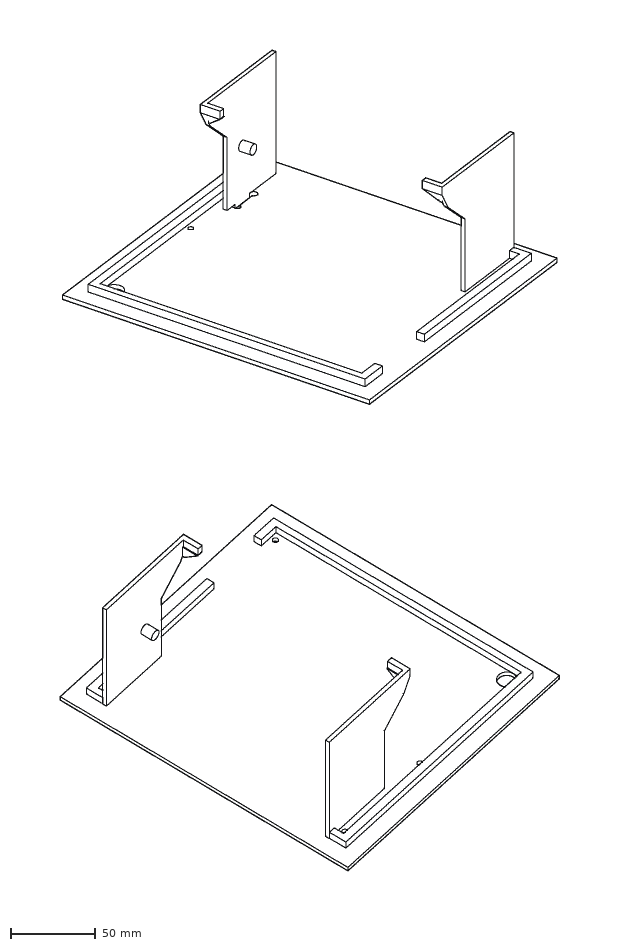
import cadquery as cq

plate_x = 220.0
plate_y = 200.0
plate_t = 3.0
total_z = 87.3
left = -plate_x / 2
front = -plate_y / 2
back = plate_y / 2

rim_margin_x = 10.8
rim_margin_y = 11.5
rim_wall_x = 5.5
rim_wall_y = 4.6
rim_h = 5.3
gap_start = 30.0
gap_end = 74.5

bracket_inset = 23.3
bracket_t = 2.9
bracket_back = back - 11.2
bracket_depth = 76.5
leg_depth = 52.1
nose_h = 5.7
knee_depth = 70.5
knee_drop = 17.0
leg_drop = 33.9

lip_w = 14.3
lip_t = 3.7
gusset_t = 4.5
gusset_drop = 15.0

pin_d = 7.0
pin_len = 8.1
pin_y = back - 47.5
pin_z = 40.0

screw_d = 3.5
screw_inset = 19.8
screw_back_insets = (21.5, 92.6)
screw_front_inset = 21.0
cable_d = 12.0
cable_inset = 22.2
slot_w = 2.6
slot_end_d = 4.8
slot_end_inset = 28.4
slot_end_y = (back - 38.3, back - 56.0)


def box(x0, y0, z0, dx, dy, dz):
    """Box grown from its lowest corner."""
    return cq.Workplane("XY").box(dx, dy, dz, centered=False).translate((x0, y0, z0))


def plate_hole(x, y, diameter):
    """Cylinder that cuts a round hole through the plate."""
    return cq.Workplane("XY").center(x, y).circle(diameter / 2).extrude(plate_t)


def make_plate():
    plate = box(left, front, 0, plate_x, plate_y, plate_t)
    for inset in screw_back_insets:
        plate = plate.cut(plate_hole(left + screw_inset, back - inset, screw_d))
    plate = plate.cut(plate_hole(-left - screw_inset, front + screw_front_inset, screw_d))
    plate = plate.cut(plate_hole(left + cable_inset, front + cable_inset, cable_d))

    slot_x = left + bracket_inset + bracket_t
    slot_length = slot_end_y[0] - slot_end_y[1]
    plate = plate.cut(box(slot_x, slot_end_y[1], 0, slot_w, slot_length, plate_t))
    for y in slot_end_y:
        plate = plate.cut(plate_hole(left + slot_end_inset, y, slot_end_d))
    return plate


def make_rim():
    outer_x = plate_x - 2 * rim_margin_x
    outer_y = plate_y - 2 * rim_margin_y
    x0 = left + rim_margin_x
    y0 = front + rim_margin_y
    outer = box(x0, y0, plate_t, outer_x, outer_y, rim_h)
    inner = box(
        x0 + rim_wall_x, y0 + rim_wall_y, plate_t,
        outer_x - 2 * rim_wall_x, outer_y - 2 * rim_wall_y, rim_h,
    )
    side_gap = box(
        x0 + outer_x - rim_wall_x, front + gap_start, plate_t,
        rim_wall_x, gap_end - gap_start, rim_h,
    )
    back_gap = box(
        left + bracket_inset + bracket_t, y0 + outer_y - rim_wall_y, plate_t,
        plate_x - 2 * (bracket_inset + bracket_t), rim_wall_y, rim_h,
    )
    return outer.cut(inner).cut(side_gap).cut(back_gap)


def side_profile(x, width):
    """Bracket side outline, extruded along +X from x."""
    nose_y = bracket_back - bracket_depth
    leg_y = bracket_back - leg_depth
    points = [
        (bracket_back, plate_t),
        (bracket_back, total_z),
        (nose_y, total_z),
        (nose_y, total_z - nose_h),
        (bracket_back - knee_depth, total_z - knee_drop),
        (leg_y, total_z - leg_drop),
        (leg_y, plate_t),
    ]
    return cq.Workplane("YZ").polyline(points).close().extrude(width).translate((x, 0, 0))


def make_bracket():
    x0 = left + bracket_inset
    inner_x = x0 + bracket_t
    lip_end = x0 + lip_w
    nose_y = bracket_back - bracket_depth
    lip_z = total_z - nose_h
    wall = side_profile(x0, bracket_t)
    lip = box(x0, nose_y, lip_z, lip_w, lip_t, nose_h)

    gusset_points = [
        (x0, lip_z),
        (lip_end, lip_z),
        (inner_x, total_z - gusset_drop),
        (x0, total_z - gusset_drop),
    ]
    gusset = (
        cq.Workplane("XZ")
        .polyline(gusset_points)
        .close()
        .extrude(-gusset_t)
        .translate((0, nose_y, 0))
        .intersect(side_profile(x0, lip_w))
    )
    pin = (
        cq.Workplane("YZ")
        .center(pin_y, pin_z)
        .circle(pin_d / 2)
        .extrude(pin_len)
        .translate((inner_x, 0, 0))
    )
    return wall.union(lip).union(gusset).union(pin)


bracket = make_bracket()
result = make_plate().union(make_rim()).union(bracket).union(bracket.mirror("YZ"))